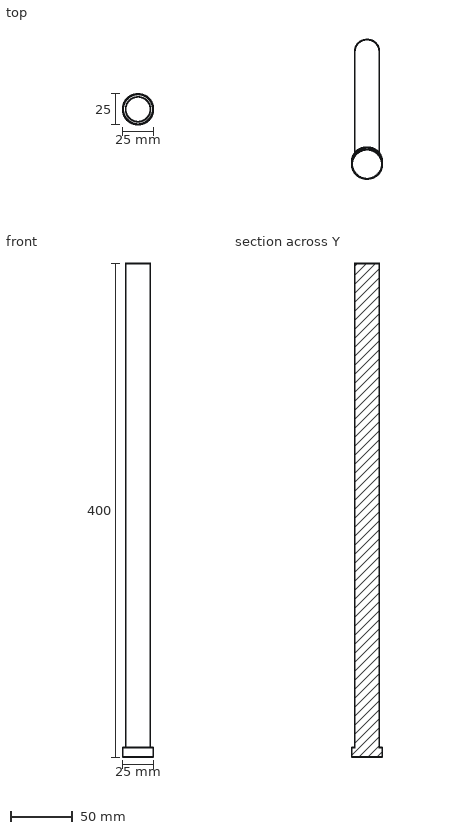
import cadquery as cq

total_length = 400.0
shank_diameter = 20.0
head_diameter = 25.0
head_height = 8.0
head_chamfer = 0.5
neck_fillet_radius = 0.5

shank_radius = shank_diameter / 2


def make_head():
    """Round head, chamfered along its bottom and top rims."""
    head = cq.Workplane("XY").circle(head_diameter / 2).extrude(head_height)
    return head.faces("<Z or >Z").chamfer(head_chamfer)


def make_shank():
    """Plain cylinder over the full length of the pin."""
    return cq.Workplane("XY").circle(shank_radius).extrude(total_length)


def round_neck(pin):
    """Fillet the inner corner where the shank meets the top of the head."""
    shank_end_edges = pin.edges("%CIRCLE").edges(cq.selectors.RadiusNthSelector(0))
    return shank_end_edges.edges("<Z").fillet(neck_fillet_radius)


result = round_neck(make_head().union(make_shank()))